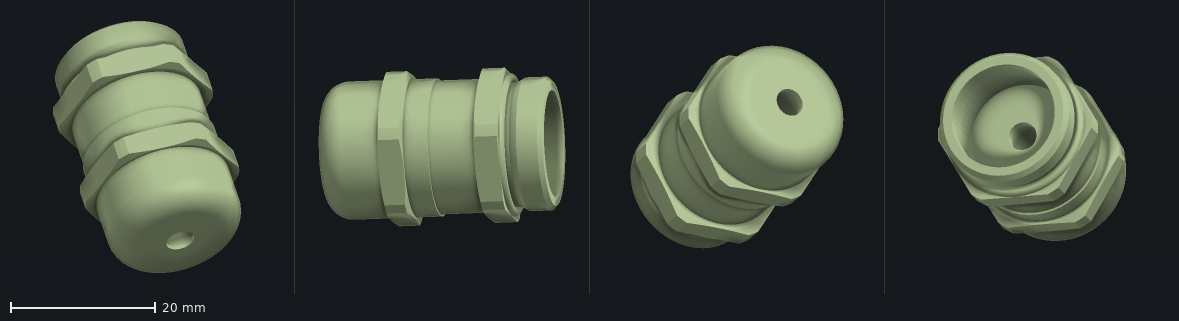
import cadquery as cq

length = 32.0
sleeve_d = 18.6
groove_d = 17.3
cap_d = 19.2
bore_d = 14.88
bore_depth = 10.0
cable_hole_d = 4.0

entry_chamfer = 0.65
thread_end_x = 3.6
groove_x = 4.75
seal_x = 5.25
body_hex_x = 6.0
body_hex_width = 3.5
cap_x = 16.05
cap_hex_x = 19.52
cap_hex_width = 3.52
cap_round = 3.52

hex_flats = 20.0
hex_corners = 22.18
hex_bevel = 0.32
seal_d = hex_flats
seal_tube_d = 1.4


def disc(x, diameter, width):
    """Cylinder on the X axis starting at station x."""
    return cq.Workplane("YZ", origin=(x, 0, 0)).circle(diameter / 2).extrude(width)


def hex_collar(x, width, bevel_start):
    """Hexagon with flats facing +Z and -Z, rounded corners and beveled end faces."""
    prism = (
        cq.Workplane("YZ", origin=(x, 0, 0))
        .transformed(rotate=(0, 0, 30))
        .polygon(6, hex_flats, circumscribed=True)
        .extrude(width)
    )
    bevel_height = (hex_corners - hex_flats) / 2
    envelope = disc(x, hex_corners, width).faces(">X").chamfer(hex_bevel, bevel_height)
    if bevel_start:
        envelope = envelope.faces("<X").chamfer(hex_bevel, bevel_height)
    return prism.intersect(envelope)


def turned_body():
    """Revolved outside shape: entry thread, relief groove, body and domed cap."""
    sleeve_r = sleeve_d / 2
    groove_r = groove_d / 2
    cap_r = cap_d / 2
    profile = (
        cq.Workplane("XY")
        .lineTo(0, groove_r)
        .lineTo(entry_chamfer, sleeve_r)
        .lineTo(thread_end_x, sleeve_r)
        .lineTo(groove_x, groove_r)
        .lineTo(body_hex_x, groove_r)
        .lineTo(body_hex_x, sleeve_r)
        .lineTo(cap_x, sleeve_r)
        .lineTo(cap_x, cap_r)
        .lineTo(length - cap_round, cap_r)
        .radiusArc((length, cap_r - cap_round), cap_round)
        .lineTo(length, 0)
        .close()
    )
    return profile.revolve(360, (0, 0, 0), (1, 0, 0))


def seal_ring():
    """Round-section sealing ring seated in the body hexagon."""
    tube_r = seal_tube_d / 2
    tube = cq.Workplane("XY").center(seal_x + tube_r, seal_d / 2 - tube_r).circle(tube_r)
    ring_axis_y = tube_r - seal_d / 2
    return tube.revolve(360, (0, ring_axis_y, 0), (1, ring_axis_y, 0))


outside = (
    turned_body()
    .union(seal_ring())
    .union(hex_collar(body_hex_x, body_hex_width, bevel_start=False))
    .union(hex_collar(cap_hex_x, cap_hex_width, bevel_start=True))
)

result = outside.cut(disc(0, bore_d, bore_depth)).cut(disc(0, cable_hole_d, length))